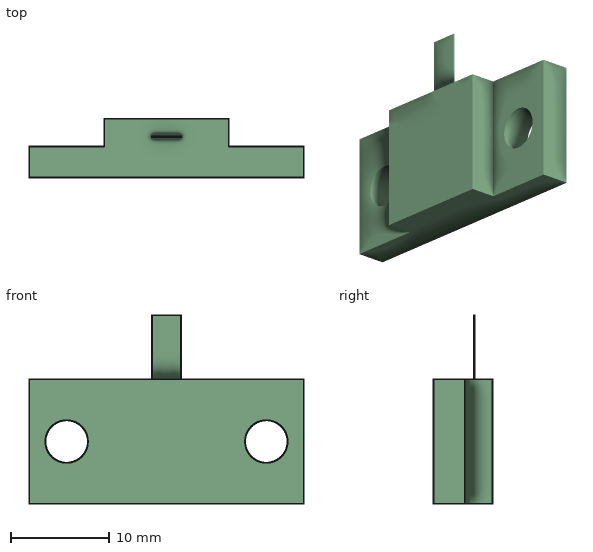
import cadquery as cq

flange_length = 27.95
body_height = 12.68
flange_thickness = 3.19

hole_diameter = 4.3
hole_spacing = 20.3

total_depth = 6.0
block_width = body_height
block_depth = total_depth - flange_thickness

total_height = 19.2
tab_width = 3.0
tab_thickness = 0.1
tab_center_y = 4.15
tab_height = total_height - body_height


def upright_box(width, depth, height, front_y, bottom_z):
    """Box centred on X, with its front face and bottom at the given places."""
    return (
        cq.Workplane("XY")
        .box(width, depth, height, centered=(True, False, False))
        .translate((0, front_y, bottom_z))
    )


flange = upright_box(flange_length, flange_thickness, body_height, 0, 0)
block = upright_box(block_width, block_depth, body_height, flange_thickness, 0)
tab_front_y = tab_center_y - tab_thickness / 2
tab = upright_box(tab_width, tab_thickness, tab_height, tab_front_y, body_height)

holes = (
    cq.Workplane("XZ")
    .pushPoints([(side * hole_spacing / 2, body_height / 2) for side in (-1, 1)])
    .circle(hole_diameter / 2)
    .extrude(-flange_thickness)
)

result = flange.cut(holes).union(block).union(tab)